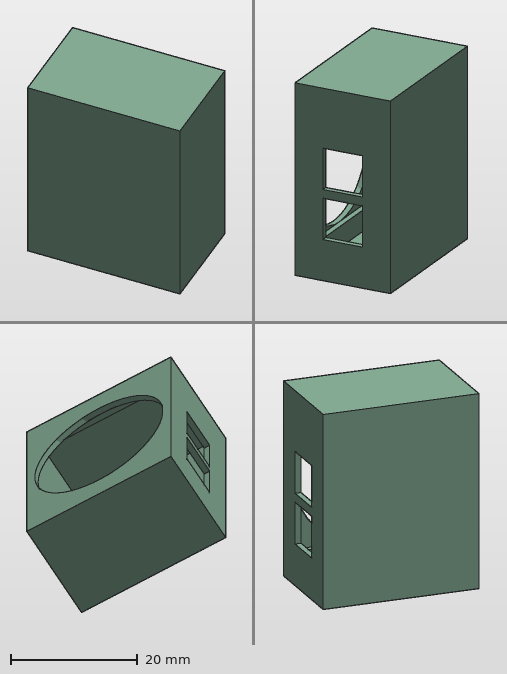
import cadquery as cq

width = 26.5
depth = 17.0
height = 32.75
wall = 1.0

rim_thickness = 2 * wall
recess_floor_thickness = wall
opening_diameter = 23.5
recess_height = opening_diameter

window_size = 7.0
window_gap = 1.5
window_pair_center_z = 14.77

center_x = width / 2
center_y = depth / 2
center_z = height / 2


def box_between(x_range, y_range, z_range):
    """Axis-aligned box given by its low and high limit along each axis."""
    size = [high - low for low, high in (x_range, y_range, z_range)]
    corner = (x_range[0], y_range[0], z_range[0])
    return cq.Workplane("XY").box(*size, centered=False).translate(corner)


def cavity():
    """Main hollow, plus the recess sunk into the back wall."""
    x_range = (wall, width - wall)
    y_range = (wall, depth - rim_thickness)
    main = box_between(x_range, y_range, (wall, height - wall))
    recess = box_between(
        x_range,
        (center_y, depth - recess_floor_thickness),
        (center_z - recess_height / 2, center_z + recess_height / 2),
    )
    return main.union(recess)


def round_opening():
    """Cylinder from the cavity out through the back face."""
    return (
        cq.Workplane("XZ", origin=(center_x, depth, center_z))
        .circle(opening_diameter / 2)
        .extrude(recess_floor_thickness)
    )


def window(z):
    """Square cutter through the -X wall, centred at height z."""
    half = window_size / 2
    return box_between((0, wall), (center_y - half, center_y + half), (z - half, z + half))


result = box_between((0, width), (0, depth), (0, height))
result = result.cut(cavity()).cut(round_opening())
window_pitch = window_size + window_gap
for side in (-1, 1):
    result = result.cut(window(window_pair_center_z + side * window_pitch / 2))